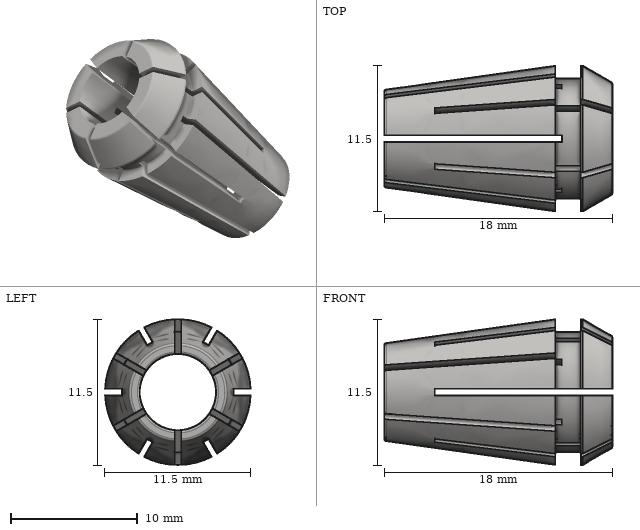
import cadquery as cq
import math

length = 18.0
max_radius = 5.75
bore_radius = 3.0
neck_radius = 4.75

taper_angle = 8.0
body_length = 13.5
nose_radius = max_radius - body_length * math.tan(math.radians(taper_angle))

head_start = 15.5
head_land = 0.15
head_angle = 30.0
cone_start = head_start + head_land
rear_radius = max_radius - (length - cone_start) * math.tan(math.radians(head_angle))

end_fillet = 0.2
neck_fillet = 0.1

slot_width = 0.5
slots_per_end = 6
slot_pitch = 360.0 / slots_per_end
nose_slot_end = 14.0
rear_slot_start = 4.0


def round_edges_at(solid, x, radius, size):
    """Fillet the circular edge of the given radius lying in the plane at x."""
    margin = 0.01
    selector = cq.selectors.BoxSelector(
        (x - margin, -radius - margin, -radius - margin),
        (x + margin, radius + margin, radius + margin),
        boundingbox=True,
    )
    edges = solid.edges(selector).edges("%CIRCLE")
    matching = [edge for edge in edges.vals() if abs(edge.radius() - radius) < margin]
    return solid.newObject(matching).fillet(size)


def make_body():
    """Revolve the collet section around X and round its edges."""
    section = [
        (0, bore_radius),
        (0, nose_radius),
        (body_length, max_radius),
        (body_length, neck_radius),
        (head_start, neck_radius),
        (head_start, max_radius),
        (cone_start, max_radius),
        (length, rear_radius),
        (length, bore_radius),
    ]
    body = cq.Workplane("XY").polyline(section).close().revolve(360, (0, 0, 0), (1, 0, 0))
    roundings = [
        (0, bore_radius, end_fillet),
        (0, nose_radius, end_fillet),
        (body_length, neck_radius, neck_fillet),
        (head_start, neck_radius, neck_fillet),
        (length, rear_radius, end_fillet),
    ]
    for x, radius, size in roundings:
        body = round_edges_at(body, x, radius, size)
    return body


def cut_slots(body, start, end, first_angle):
    """Cut radial slots from start to end along X, the first turned first_angle from +Y."""
    reach = 2 * max_radius
    slot = cq.Workplane("XY").box(end - start, reach, slot_width, centered=(False, False, True))
    slot = slot.translate((start, 0, 0))
    for i in range(slots_per_end):
        angle = first_angle + i * slot_pitch
        body = body.cut(slot.rotate((0, 0, 0), (1, 0, 0), angle))
    return body


collet = make_body()
collet = cut_slots(collet, 0, nose_slot_end, slot_pitch / 2)
result = cut_slots(collet, rear_slot_start, length, 0)